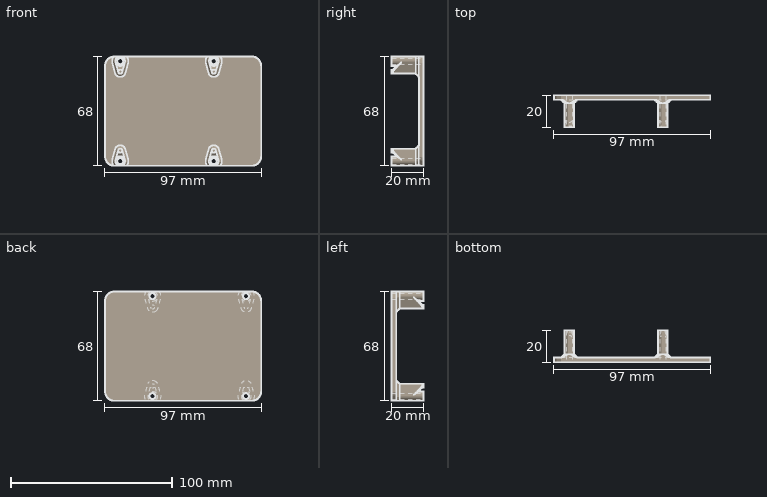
import cadquery as cq
import math

plate_width = 97.0
plate_height = 68.0
plate_thickness = 3.0
corner_radius = 6.0

total_depth = 20.0
post_radius = 3.0
hole_diameter = 3.6
pin_radius = 1.3
pin_offset = 6.5
pin_tip_length = 1.0
skirt_size = 2.0
skirt_angle = 45
first_post_inset = 9.5
post_spacing = 58.0
hole_radius = hole_diameter / 2
post_height = plate_height / 2 - post_radius

first_post_x = first_post_inset - plate_width / 2
post_columns = (first_post_x, first_post_x + post_spacing)
plate_front = -plate_thickness
web_front = pin_tip_length - total_depth


def facing_front(y):
    """Sketch plane at depth y whose normal points to -Y, with X right and Z up."""
    return cq.Workplane("XZ", origin=(0, y, 0))


def cylinder(radius, z, y_start, y_end):
    return facing_front(y_start).center(0, z).circle(radius).extrude(y_start - y_end)


def cone(start_radius, end_radius, z, y_start, y_end):
    solid = cq.Solid.makeCone(
        start_radius, end_radius, y_start - y_end, cq.Vector(0, y_start, z), cq.Vector(0, -1, 0)
    )
    return cq.Workplane(solid)


def teardrop(y, margin=0.0):
    """Outline wrapped around the post (at the origin) and the pin below it."""
    tangent_sine = (post_radius - pin_radius) / pin_offset
    tangent_cosine = math.sqrt(1 - tangent_sine**2)
    top_radius = post_radius + margin
    bottom_radius = pin_radius + margin
    top_x = top_radius * tangent_cosine
    top_z = -top_radius * tangent_sine
    bottom_x = bottom_radius * tangent_cosine
    bottom_z = -pin_offset - bottom_radius * tangent_sine
    return (
        facing_front(y)
        .moveTo(-top_x, top_z)
        .threePointArc((0, top_radius), (top_x, top_z))
        .lineTo(bottom_x, bottom_z)
        .threePointArc((0, -pin_offset - bottom_radius), (-bottom_x, bottom_z))
        .close()
    )


def standoff():
    """Standoff for the top edge, with its post on the Y axis and its pin below."""
    post = cylinder(post_radius, 0, plate_front, -total_depth)
    pin = cylinder(pin_radius, -pin_offset, plate_front, -total_depth)
    web_length = plate_front - web_front
    web = teardrop(plate_front).extrude(web_length)
    web = web.intersect(
        cone(pin_radius + web_length, pin_radius, -pin_offset, plate_front, web_front)
    )
    skirt = teardrop(plate_front, skirt_size).extrude(skirt_size, taper=skirt_angle)
    return post.union(web).union(pin).union(skirt)


def at_corners(feature):
    """Copies of a top-edge feature at both columns, mirrored to the bottom edge."""
    copies = []
    for x in post_columns:
        upper = feature.translate((x, 0, post_height))
        copies += [upper, upper.mirror("XY")]
    return copies


def plate_blank(depth):
    blank = facing_front(0).rect(plate_width, plate_height).extrude(depth)
    return blank.edges("|Y").fillet(corner_radius)


result = plate_blank(plate_thickness)
for copy in at_corners(standoff()):
    result = result.union(copy)
result = result.intersect(plate_blank(total_depth))
for copy in at_corners(cylinder(hole_radius, 0, 0, -total_depth)):
    result = result.cut(copy)